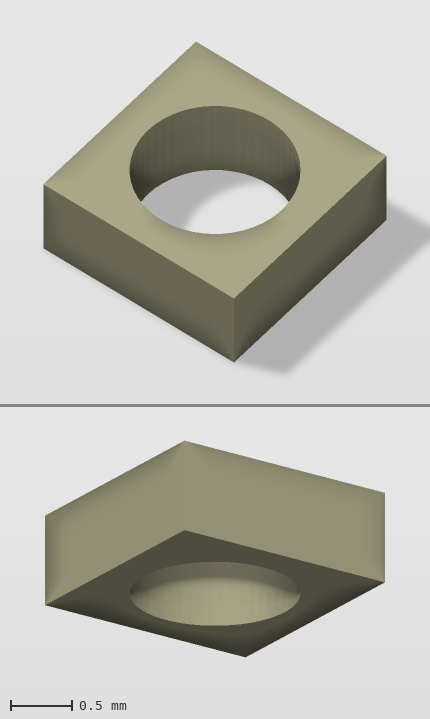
import cadquery as cq

side = 2.0
height = 0.79
hole_diameter = 1.4

result = (
    cq.Workplane("XY")
    .box(side, side, height)
    .faces(">Z")
    .workplane()
    .hole(hole_diameter)
)